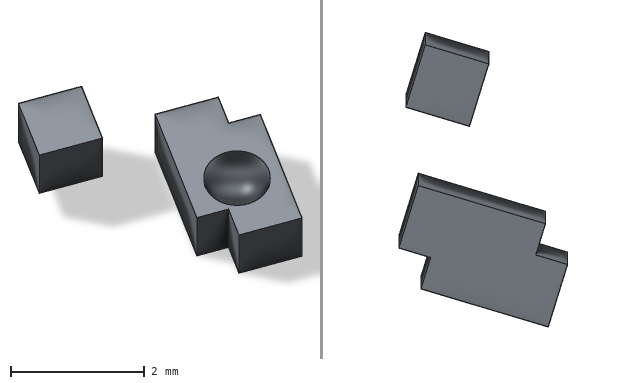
import cadquery as cq

total_length = 3.5
edge = total_length / 3.5
half_edge = edge / 2

block_length = 2 * edge
block_offset = half_edge
front_block_x = half_edge
front_block_y = 2 * edge

dimple_radius = half_edge
dimple_x = 2 * edge
dimple_y = 2.8

cube_lift = half_edge


def box_at(length, x, y, z):
    """Box of square cross-section with its lowest corner at (x, y, z)."""
    return cq.Workplane("XY").box(length, edge, edge, centered=False).translate((x, y, z))


def make_base():
    """Two offset blocks as one solid, with a hemispherical dimple on top."""
    front_block = box_at(block_length, front_block_x, front_block_y, 0)
    rear_block = box_at(block_length, front_block_x + block_offset, front_block_y + block_offset, 0)
    dimple = cq.Workplane("XY").sphere(dimple_radius).translate((dimple_x, dimple_y, edge))
    return front_block.union(rear_block).cut(dimple)


def make_cube():
    """Separate cube at the front left corner, raised above the base floor."""
    return box_at(edge, 0, 0, cube_lift)


base = make_base()
cube = make_cube()

result = cq.Compound.makeCompound([base.solids().val(), cube.val()])